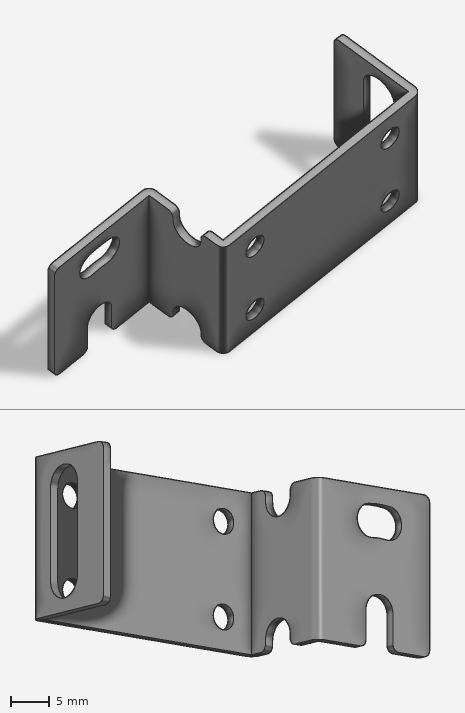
import cadquery as cq
import math

width = 14.6
length = 55.0
height = 21.5
thickness = 1.2
corner_radius = 1.0

left = -width / 2
right = width / 2
front = -length / 2
back = length / 2
bottom = -height / 2
top = height / 2

step_back = front + 19.0
step_front = step_back - thickness
step_notch_width = 5.0
step_notch_depth = 4.0
opening_x = left + 8.05

back_slot_width = 5.5
back_slot_length = 17.75

hole_diameter = 3.4
hole_pitch_y = 25.4
hole_pitch_z = 12.7
hole_back_inset = 5.9
hole_centre_y = back - hole_back_inset - hole_pitch_y / 2

pivot_y = front + 8.45
pivot_z = bottom + 5.0
pivot_width = 4.5
arc_slot_radius = 12.0
arc_slot_half_angle = 7.0


def block(x_min, x_max, y_min, y_max):
    """Full-height block between the given X and Y limits."""
    size = (x_max - x_min, y_max - y_min, height)
    return cq.Workplane("XY").box(*size, centered=False).translate((x_min, y_min, bottom))


def notch_profile(plane, centre, edge, root, notch_width):
    """Round-ended notch running from a plate edge to its root."""
    radius = notch_width / 2
    root_centre = root + math.copysign(radius, edge - root)
    return (
        cq.Workplane(plane)
        .moveTo(centre - radius, edge)
        .lineTo(centre - radius, root_centre)
        .threePointArc((centre, root), (centre + radius, root_centre))
        .lineTo(centre + radius, edge)
        .close()
    )


def front_tab():
    tab = block(left, left + thickness, front, step_back)
    notch = notch_profile("YZ", pivot_y, bottom, pivot_z + pivot_width / 2, pivot_width)
    tab = tab.cut(notch.extrude(width, both=True))
    front_corners = tab.edges("|X").edges("<Y")
    bottom_edges = tab.edges("|X").edges("<Z")
    notch_corners = bottom_edges.edges(cq.selectors.BoxSelector(
        (left - corner_radius, pivot_y - pivot_width, bottom - corner_radius),
        (right, pivot_y + pivot_width, bottom + corner_radius),
    ))
    corners = front_corners.vals() + notch_corners.vals()
    return tab.newObject(corners).fillet(corner_radius).cut(arc_slot())


def arc_slot():
    """Round-ended slot following an arc about the pivot."""
    half_angle = math.radians(arc_slot_half_angle)

    def point(radius, angle):
        return (pivot_y + radius * math.sin(angle), pivot_z + radius * math.cos(angle))

    inner = arc_slot_radius - pivot_width / 2
    outer = arc_slot_radius + pivot_width / 2
    end_angle = half_angle + math.asin(pivot_width / 2 / arc_slot_radius)
    return (
        cq.Workplane("YZ")
        .moveTo(*point(outer, -half_angle))
        .threePointArc(point(outer, 0), point(outer, half_angle))
        .threePointArc(point(arc_slot_radius, end_angle), point(inner, half_angle))
        .threePointArc(point(inner, 0), point(inner, -half_angle))
        .threePointArc(point(arc_slot_radius, -end_angle), point(outer, -half_angle))
        .close()
        .extrude(width, both=True)
    )


def step_plate():
    plate = block(left, right, step_front, step_back)
    for edge, direction in ((top, -1), (bottom, 1)):
        root = edge + direction * step_notch_depth
        notch = notch_profile("XZ", opening_x, edge, root, step_notch_width)
        plate = plate.cut(notch.extrude(length, both=True))
    notch_corners = plate.edges("|Y").edges(cq.selectors.BoxSelector(
        (opening_x - step_notch_width, front, bottom - corner_radius),
        (opening_x + step_notch_width, back, top + corner_radius),
    )).edges("<Z or >Z")
    return plate.newObject(notch_corners.vals()).fillet(corner_radius)


def main_wall():
    wall = block(right - thickness, right, step_front, back)
    holes = (
        cq.Workplane("YZ")
        .center(hole_centre_y, 0)
        .rarray(hole_pitch_y, hole_pitch_z, 2, 2)
        .circle(hole_diameter / 2)
        .extrude(width)
    )
    return wall.cut(holes)


def back_flange():
    flange = block(left, right, back - thickness, back)
    flange = flange.edges("|Y and <X").fillet(corner_radius)
    slot = (
        cq.Workplane("XZ")
        .center(opening_x, 0)
        .slot2D(back_slot_length, back_slot_width, 90)
        .extrude(-length)
    )
    return flange.cut(slot)


def round_bend(body, x, y, x_side, y_side):
    """Round the outside of a bend about its sharp inside corner."""
    inside_x = x - x_side * thickness
    inside_y = y - y_side * thickness
    x_min, x_max = sorted((x, inside_x))
    y_min, y_max = sorted((y, inside_y))
    round_corner = (
        cq.Workplane("XY", origin=(inside_x, inside_y, bottom))
        .circle(thickness)
        .extrude(height)
    )
    return body.cut(block(x_min, x_max, y_min, y_max).cut(round_corner))


result = front_tab().union(step_plate()).union(main_wall()).union(back_flange())
result = round_bend(result, left, step_back, -1, 1)
result = round_bend(result, right, step_front, 1, -1)
result = round_bend(result, right, back, 1, 1)